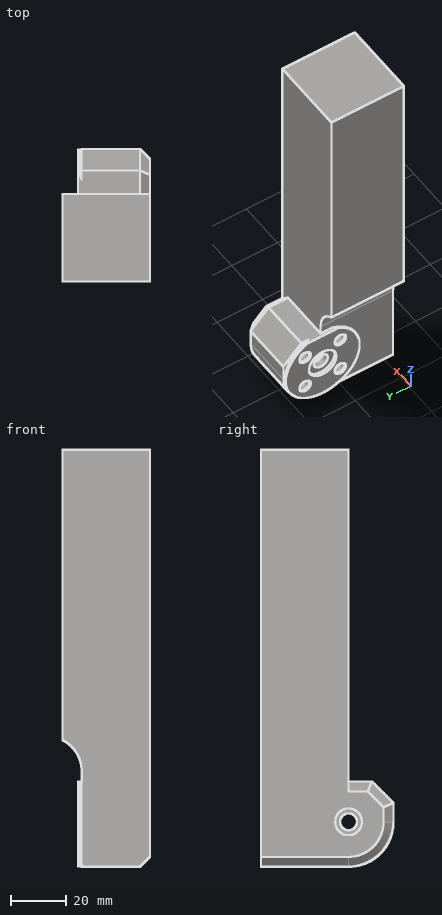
import cadquery as cq
import math

shank_size = 31.8
height = 151.6
end_chamfer = 3.6

relief_depth = 7.0
relief_bottom = 34.7
relief_top = 46.1
relief_rise = relief_top - relief_bottom
relief_radius = (relief_depth**2 + relief_rise**2) / (2 * relief_depth)

head_radius = 16.4
head_top = 31.1
head_corner_chamfer = 7.9
axis_y = shank_size
axis_z = head_radius

disc_radius = 16.2
disc_height = 1.4
disc_chamfer = 0.6
disc_face = relief_depth - disc_height

bore_diameter = 6.0
recess_diameter = 12.0
recess_depth = 1.2
rear_bore_diameter = 9.7
bore_land = 3.0
rear_bore_start = disc_face + recess_depth + bore_land
screw_diameter = 4.2
screw_mouth_diameter = 5.0
screw_depth = 9.1
screw_offset = 7.7
drill_half_angle = math.radians(59)


def cylinder(diameter, length, x, y=axis_y, z=axis_z):
    """Cylinder along +X starting at the given point."""
    return cq.Workplane("YZ", origin=(x, y, z)).circle(diameter / 2).extrude(length)


def make_shank():
    """Square bar with an arc-ended relief and a chamfered lower end."""
    relief_mid_angle = math.asin(relief_rise / relief_radius) / 2
    arc_mid = (
        relief_depth - relief_radius * (1 - math.cos(relief_mid_angle)),
        relief_bottom + relief_radius * math.sin(relief_mid_angle),
    )
    return (
        cq.Workplane("XZ")
        .moveTo(relief_depth, 0)
        .lineTo(relief_depth, relief_bottom)
        .threePointArc(arc_mid, (0, relief_top))
        .lineTo(0, height)
        .lineTo(shank_size, height)
        .lineTo(shank_size, end_chamfer)
        .lineTo(shank_size - end_chamfer, 0)
        .close()
        .extrude(-shank_size)
    )


def make_head():
    """Half-round lobe with a flat top, a cut corner and a chamfered +X rim."""
    outer_y = axis_y + head_radius
    arc_mid_offset = head_radius * math.sqrt(0.5)
    return (
        cq.Workplane("YZ", origin=(relief_depth, 0, 0))
        .moveTo(axis_y - head_radius, 0)
        .lineTo(axis_y, 0)
        .threePointArc(
            (axis_y + arc_mid_offset, axis_z - arc_mid_offset),
            (outer_y, axis_z),
        )
        .lineTo(outer_y, head_top - head_corner_chamfer)
        .lineTo(outer_y - head_corner_chamfer, head_top)
        .lineTo(axis_y - head_radius, head_top)
        .close()
        .extrude(shank_size - relief_depth)
        .faces(">X")
        .chamfer(end_chamfer)
    )


def make_disc():
    """Thin round pad with a chamfered base, trimmed level with the head top."""
    pad = cylinder(2 * disc_radius, disc_height, disc_face).faces(">X").chamfer(disc_chamfer)
    trim = cq.Workplane("XY").box(
        shank_size, 2 * shank_size, head_top, centered=False
    )
    return pad.intersect(trim)


def make_screw_hole(y, z):
    """Blind hole with a 45 degree countersunk mouth and a drill point."""
    radius = screw_diameter / 2
    mouth_radius = screw_mouth_diameter / 2
    tip_depth = screw_depth + radius / math.tan(drill_half_angle)
    return (
        cq.Workplane("XY", origin=(disc_face, y, z))
        .lineTo(0, mouth_radius)
        .lineTo(mouth_radius - radius, radius)
        .lineTo(screw_depth, radius)
        .lineTo(tip_depth, 0)
        .close()
        .revolve(360, (0, 0, 0), (1, 0, 0))
    )


result = make_shank().union(make_head()).union(make_disc())
result = result.cut(cylinder(bore_diameter, shank_size, 0))
result = result.cut(cylinder(recess_diameter, recess_depth, disc_face))
result = result.cut(cylinder(rear_bore_diameter, shank_size - rear_bore_start, rear_bore_start))
for side_y in (-1, 1):
    for side_z in (-1, 1):
        hole = make_screw_hole(axis_y + side_y * screw_offset, axis_z + side_z * screw_offset)
        result = result.cut(hole)